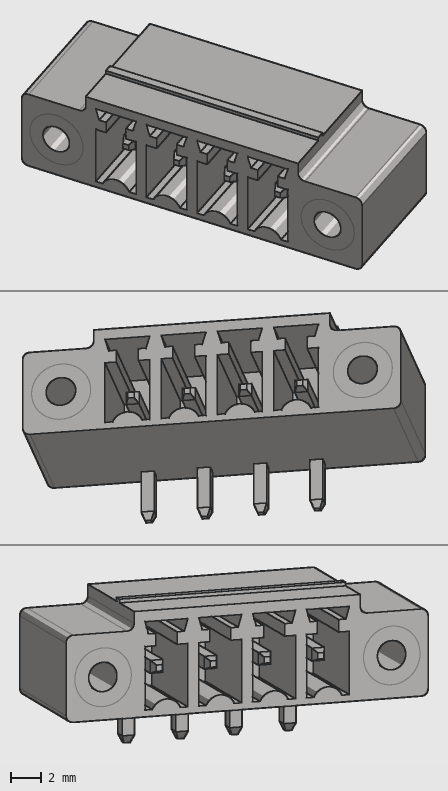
import cadquery as cq


PIN_COUNT = 4
PITCH = 3.81
ROW_SPAN = (PIN_COUNT - 1) * PITCH
PIN_XS = [i * PITCH - ROW_SPAN / 2 for i in range(PIN_COUNT)]

DEPTH = 9.2
FRONT_Y = -DEPTH / 2
BACK_Y = DEPTH / 2
FLANGE_OVERHANG = 7.1
FLANGE_WIDTH = ROW_SPAN + 2 * FLANGE_OVERHANG
FLANGE_HEIGHT = 5.95
CORE_WIDTH = 16.0
CORE_HEIGHT = 7.25
CORNER_RADIUS = 0.5
TOTAL_HEIGHT = 10.95
AXIS_Z = 2.95

RIB_WIDTH = 0.6
RIB_HEIGHT = 0.25
RIB_SETBACK = 3.2

INSERT_OFFSET = 4.5
INSERT_SPAN = ROW_SPAN + 2 * INSERT_OFFSET
INSERT_DIAMETER = 4.0
HOLE_DIAMETER = 2.0
INSERT_DEPTH = 8.0
HOLE_DEPTH = 7.0

POCKET_DEPTH = 7.2
POCKET_WIDTH = 3.03
POCKET_FLOOR_Z = 0.475
TAB_BOTTOM_Z = 4.8
TAB_TOP_Z = 5.65
POCKET_TOP_Z = 6.5
NECK_WIDTH = 1.5
DOVETAIL_WIDTH = 2.53
BUMP_WIDTH = 2.0
BUMP_HEIGHT = 0.65

PIN_SIZE = 0.88
PIN_TIP_SIZE = 0.42
PIN_TAPER = 0.55
PIN_LEG_SETBACK = 1.2
PIN_LEG_Y = BACK_Y - PIN_LEG_SETBACK
PIN_BOTTOM_Z = CORE_HEIGHT + RIB_HEIGHT - TOTAL_HEIGHT
PIN_TIP_SETBACK = 1.4


def box(x_size, y_range, z_range):
    """Box centred on X = 0 between the given Y and Z limits."""
    y_size = y_range[1] - y_range[0]
    z_size = z_range[1] - z_range[0]
    corner = cq.Vector(-x_size / 2, y_range[0], z_range[0])
    return cq.Workplane(cq.Solid.makeBox(x_size, y_size, z_size, corner))


def front_plane():
    """Sketch plane on the mating face: local axes are X and Z, negative extrusion goes inward."""
    return cq.Workplane("XZ", origin=(0, FRONT_Y, 0))


def make_housing():
    flange = box(FLANGE_WIDTH, (FRONT_Y, BACK_Y), (0, FLANGE_HEIGHT))
    flange = flange.edges("|Y").fillet(CORNER_RADIUS)
    core = box(CORE_WIDTH, (FRONT_Y, BACK_Y), (0, CORE_HEIGHT))
    housing = flange.union(core)
    shoulder = cq.selectors.BoxSelector(
        (-CORE_WIDTH / 2 - CORNER_RADIUS / 2, FRONT_Y, FLANGE_HEIGHT - CORNER_RADIUS / 2),
        (CORE_WIDTH / 2 + CORNER_RADIUS / 2, BACK_Y, FLANGE_HEIGHT + CORNER_RADIUS / 2),
    )
    housing = housing.edges("|Y").edges(shoulder).fillet(CORNER_RADIUS)
    rib_y = FRONT_Y + RIB_SETBACK
    rib = box(
        CORE_WIDTH,
        (rib_y - RIB_WIDTH / 2, rib_y + RIB_WIDTH / 2),
        (CORE_HEIGHT, CORE_HEIGHT + RIB_HEIGHT),
    )
    return housing.union(rib)


def make_pocket():
    """Keyed pocket with a bump along its floor and a dovetail above two side tabs."""
    half = POCKET_WIDTH / 2
    neck = NECK_WIDTH / 2
    dovetail = DOVETAIL_WIDTH / 2
    bump = BUMP_WIDTH / 2
    return (
        front_plane()
        .moveTo(-half, POCKET_FLOOR_Z)
        .lineTo(-bump, POCKET_FLOOR_Z)
        .threePointArc((0, POCKET_FLOOR_Z + BUMP_HEIGHT), (bump, POCKET_FLOOR_Z))
        .lineTo(half, POCKET_FLOOR_Z)
        .lineTo(half, TAB_BOTTOM_Z)
        .lineTo(neck, TAB_BOTTOM_Z)
        .lineTo(neck, TAB_TOP_Z)
        .lineTo(dovetail, TAB_TOP_Z)
        .lineTo(half, POCKET_TOP_Z)
        .lineTo(-half, POCKET_TOP_Z)
        .lineTo(-dovetail, TAB_TOP_Z)
        .lineTo(-neck, TAB_TOP_Z)
        .lineTo(-neck, TAB_BOTTOM_Z)
        .lineTo(-half, TAB_BOTTOM_Z)
        .close()
        .extrude(-POCKET_DEPTH)
    )


def make_taper(plane):
    """Tapered pin end, growing from the full section to the tip along the plane normal."""
    return (
        cq.Workplane(plane)
        .rect(PIN_SIZE, PIN_SIZE)
        .workplane(offset=PIN_TAPER)
        .rect(PIN_TIP_SIZE, PIN_TIP_SIZE)
        .loft(ruled=True)
    )


def make_pin():
    """L-shaped pin: a leg down through the board and an arm toward the mating face."""
    half = PIN_SIZE / 2
    leg_end_z = PIN_BOTTOM_Z + PIN_TAPER
    arm_end_y = FRONT_Y + PIN_TIP_SETBACK + PIN_TAPER
    leg = box(PIN_SIZE, (PIN_LEG_Y - half, PIN_LEG_Y + half), (leg_end_z, AXIS_Z + half))
    arm = box(PIN_SIZE, (arm_end_y, PIN_LEG_Y + half), (AXIS_Z - half, AXIS_Z + half))
    leg_tip = make_taper(cq.Plane((0, PIN_LEG_Y, leg_end_z), (1, 0, 0), (0, 0, -1)))
    arm_tip = make_taper(cq.Plane((0, arm_end_y, AXIS_Z), (1, 0, 0), (0, -1, 0)))
    return leg.union(arm).union(leg_tip).union(arm_tip)


def add_insert(body, x):
    """Blind-holed round insert whose outline stays as an edge on the mating face."""
    insert = front_plane().center(x, AXIS_Z).circle(INSERT_DIAMETER / 2).extrude(-INSERT_DEPTH)
    hole = front_plane().center(x, AXIS_Z).circle(HOLE_DIAMETER / 2).extrude(-HOLE_DEPTH)
    body = body.cut(insert, clean=False).union(insert, clean=False)
    return body.cut(hole, clean=False)


body = make_housing()
pocket = make_pocket()
pin = make_pin()
for pin_x in PIN_XS:
    body = body.cut(pocket.translate((pin_x, 0, 0)))
    body = body.union(pin.translate((pin_x, 0, 0)))
for insert_x in (-INSERT_SPAN / 2, INSERT_SPAN / 2):
    body = add_insert(body, insert_x)

result = body